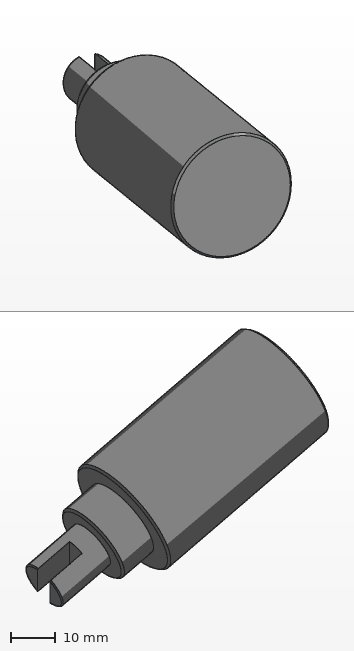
import cadquery as cq

total_length = 74.5
body_diameter = 30.0
body_length = 50.0
collar_diameter = 20.0
tip_diameter = 12.0
tip_length = 15.0
collar_length = total_length - body_length - tip_length

body_chamfer = 0.5
collar_chamfer = 0.5
tip_chamfer = 0.3

slot_width = 4.0
slot_depth = 10.0


def cylinder(start, length, diameter):
    """Solid cylinder along +X, beginning at the given X position."""
    return cq.Workplane("YZ", origin=(start, 0, 0)).circle(diameter / 2).extrude(length)


body = cylinder(tip_length + collar_length, body_length, body_diameter).edges().chamfer(body_chamfer)
collar = cylinder(tip_length, collar_length, collar_diameter).faces("<X").chamfer(collar_chamfer)
tip = cylinder(0, tip_length, tip_diameter).faces("<X").chamfer(tip_chamfer)
shaft = body.union(collar).union(tip)

slot = cq.Workplane("XY").box(slot_depth, slot_width, tip_diameter, centered=(False, True, True))

result = shaft.cut(slot)